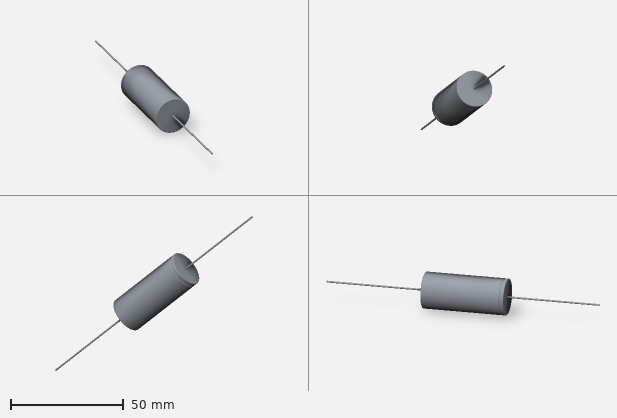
import cadquery as cq

can_diameter = 16.5
can_length = 38.0
rim_fillet = 0.3

lead_diameter = 0.8
wire_length = 125.0
left_lead_length = 45.0

groove_top_width = 0.75
groove_floor_width = groove_top_width / 2
groove_depth = 0.2
groove_from_right_end = 1.8

can_radius = can_diameter / 2
can_left = -can_length / 2
can_right = can_length / 2
groove_x = can_right - groove_from_right_end
groove_floor_radius = can_radius - groove_depth


def make_can():
    """Revolve the can's half section, groove included, about X and round both rims."""
    half_section = (
        cq.Workplane("XY")
        .moveTo(can_left, 0)
        .lineTo(can_left, can_radius)
        .lineTo(groove_x - groove_top_width / 2, can_radius)
        .lineTo(groove_x - groove_floor_width / 2, groove_floor_radius)
        .lineTo(groove_x + groove_floor_width / 2, groove_floor_radius)
        .lineTo(groove_x + groove_top_width / 2, can_radius)
        .lineTo(can_right, can_radius)
        .lineTo(can_right, 0)
        .close()
    )
    can = half_section.revolve(360, (0, 0, 0), (1, 0, 0))
    return can.faces("<X or >X").edges().fillet(rim_fillet)


def make_leads():
    """One straight wire running through the can and out of both ends."""
    wire_start = can_left - left_lead_length
    wire_plane = cq.Workplane("YZ", origin=(wire_start, 0, 0))
    return wire_plane.circle(lead_diameter / 2).extrude(wire_length)


result = make_can().union(make_leads())